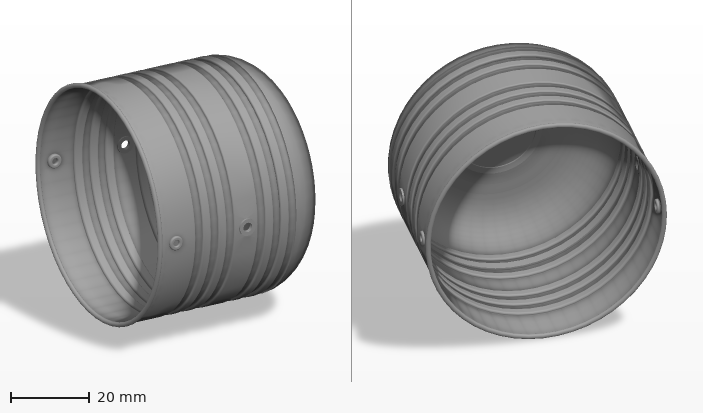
import cadquery as cq
import math

length = 51.45
wall = 0.25
band_radius = 62.2 / 2
groove_depth = 0.75

groove_pitch = 4.6
first_groove_y = 12.1
plain_band_index = 3
square_groove_index = 5
groove_count = 7
groove_width = 2.1
band_bend_radius = 0.4
floor_bend_radius = 0.3

dome_radius = 12.6
ring_blend_outer_radius = 15.6
ring_outer_radius = 12.2
ring_inner_radius = 21.1 / 2
ring_blend_radius = 12.7

bead_radius = 0.65
rim_radius = 63.3 / 2

eyelet_y = 26.05
eyelet_radius = 4.6 / 2
eyelet_hole_radius = 2.55 / 2
eyelet_outer_face = 31.55
eyelet_inner_face = 30.4

rivet_y = 5.15
rivet_radius = 3.8 / 2
rivet_hole_radius = 1.5 / 2
rivet_outer_face = 63.5 / 2
rivet_inner_face = 29.85
rivet_edge_fillet = 0.41
rivet_hole_fillet = 0.4
rivet_dimple_depth = 0.45
rivet_hole_depth = 0.9


def wall_corners(inset):
    """Corners (radius, y, bend) of the grooved wall, moved inward by inset."""
    band = band_radius - inset
    floor = band - groove_depth
    half_width = groove_width / 2 + inset
    band_bend = band_bend_radius - inset
    corners = []
    for index in range(groove_count):
        if index == plain_band_index:
            continue
        y = first_groove_y + index * groove_pitch
        floor_bend = 0 if index == square_groove_index else floor_bend_radius + inset
        corners += [
            (band, y - half_width, band_bend),
            (floor, y - half_width, floor_bend),
            (floor, y + half_width, floor_bend),
            (band, y + half_width, band_bend),
        ]
    return corners


def step_toward(start, end, distance):
    """Point at the given distance from start on the way to end."""
    span = math.dist(start, end)
    return tuple(a + (b - a) * distance / span for a, b in zip(start, end))


def cup_solid(inset):
    """Solid of revolution bounded by the cup surface moved inward by inset.

    It starts at the middle of the rim bead, so the bead alone forms the rim.
    """
    dome_center = (band_radius - dome_radius, length - dome_radius)
    arc_radius = dome_radius - inset
    corners = wall_corners(inset)

    dome_edge_y = corners.pop()[1]
    rise = dome_edge_y - dome_center[1]
    dome_edge = (dome_center[0] + math.sqrt(arc_radius**2 - rise**2), dome_edge_y)
    middle_angle = (math.asin(rise / arc_radius) + math.pi / 2) / 2
    dome_middle = (
        dome_center[0] + arc_radius * math.cos(middle_angle),
        dome_center[1] + arc_radius * math.sin(middle_angle),
    )

    points = [(band_radius - inset, bead_radius)] + [corner[:2] for corner in corners] + [dome_edge]
    profile = cq.Workplane("XY").moveTo(0, bead_radius).lineTo(*points[0])
    for before, corner, after, (_, _, bend) in zip(points, points[1:], points[2:], corners):
        if bend == 0:
            profile = profile.lineTo(*corner)
            continue
        bend_start = step_toward(corner, before, bend)
        bend_end = step_toward(corner, after, bend)
        profile = profile.lineTo(*bend_start).tangentArcPoint(bend_end, relative=False)
    profile = profile.lineTo(*dome_edge)
    profile = profile.threePointArc(dome_middle, (dome_center[0], length - inset))
    profile = profile.lineTo(0, length - inset).close()
    return profile.revolve(360, (0, 0, 0), (0, 1, 0))


def end_ring():
    """Raised ring inside the domed end, blending out to the flat face."""
    base_y = length - wall
    run = ring_blend_outer_radius - ring_outer_radius
    blend_angle = math.asin(run / ring_blend_radius)
    height = ring_blend_radius * (1 - math.cos(blend_angle))
    blend_middle = (
        ring_blend_outer_radius - ring_blend_radius * math.sin(blend_angle / 2),
        base_y - ring_blend_radius * (1 - math.cos(blend_angle / 2)),
    )
    back_y = length - wall / 2
    return (
        cq.Workplane("XY")
        .moveTo(ring_inner_radius, base_y)
        .lineTo(ring_inner_radius, base_y - height)
        .lineTo(ring_outer_radius, base_y - height)
        .threePointArc(blend_middle, (ring_blend_outer_radius, base_y))
        .lineTo(ring_blend_outer_radius, back_y)
        .lineTo(ring_inner_radius, back_y)
        .close()
        .revolve(360, (0, 0, 0), (0, 1, 0))
    )


def rim_bead():
    """Round bead rolled around the open rim."""
    return (
        cq.Workplane("XY")
        .center(rim_radius - bead_radius, bead_radius)
        .circle(bead_radius)
        .revolve(360, (bead_radius - rim_radius, 0, 0), (bead_radius - rim_radius, 1, 0))
    )


def side_cylinder(radius, y, inner_x, outer_x):
    """Cylinder along +X between two distances from the cup axis."""
    return cq.Workplane("YZ", origin=(inner_x, y, 0)).circle(radius).extrude(outer_x - inner_x)


def eyelet():
    return side_cylinder(eyelet_radius, eyelet_y, eyelet_inner_face, eyelet_outer_face)


def eyelet_hole():
    return side_cylinder(eyelet_hole_radius, eyelet_y, eyelet_inner_face - wall, eyelet_outer_face + wall)


def rivet():
    body = side_cylinder(rivet_radius, rivet_y, rivet_inner_face, rivet_outer_face)
    body = body.faces("<X or >X").edges().fillet(rivet_edge_fillet)
    dimple_floor = rivet_outer_face - rivet_dimple_depth
    hole_floor = rivet_inner_face + rivet_hole_depth
    body = body.cut(side_cylinder(rivet_hole_radius, rivet_y, dimple_floor, rivet_outer_face))
    body = body.cut(side_cylinder(rivet_hole_radius, rivet_y, rivet_inner_face, hole_floor))
    hole_mouths = body.faces("<X or >X").edges(cq.selectors.RadiusNthSelector(0))
    return hole_mouths.fillet(rivet_hole_fillet)


def on_both_sides(feature):
    """The feature at +X together with its mirror image at -X."""
    return feature.union(feature.mirror("YZ"))


shell = cup_solid(0).cut(cup_solid(wall))
shell = shell.union(rim_bead()).union(end_ring())
shell = shell.union(on_both_sides(eyelet())).cut(on_both_sides(eyelet_hole()))

rivet_seat = side_cylinder(rivet_radius, rivet_y, rivet_inner_face, rivet_outer_face)
result = shell.cut(on_both_sides(rivet_seat)).union(on_both_sides(rivet()))